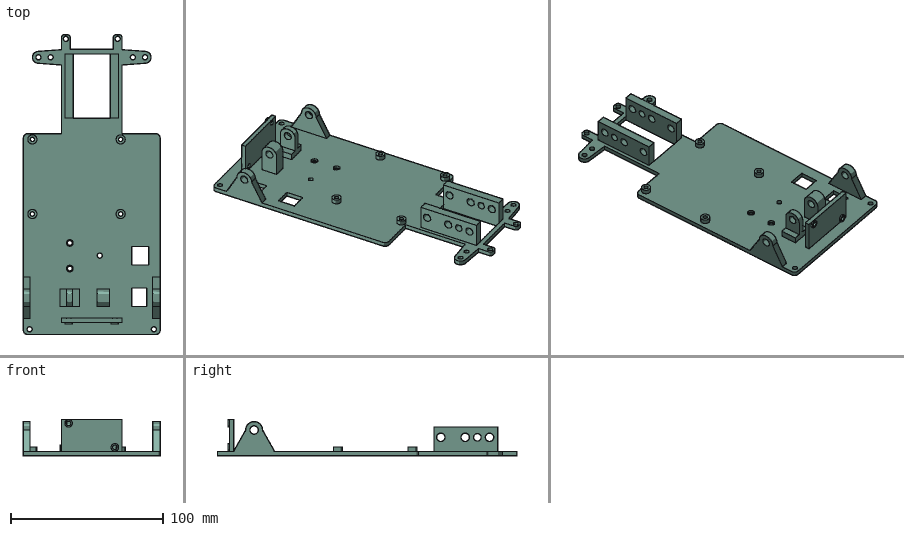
import cadquery as cq

OVERALL_LENGTH = 197.0
OVERALL_HEIGHT = 24.0
CUT_MARGIN = 1.0

PLATE_WIDTH = 90.0
PLATE_LENGTH = 132.0
PLATE_THICKNESS = 3.0
PLATE_CORNER_RADIUS = 3.0
NECK_WIDTH = 40.0
NECK_END_Y = 187.5
SCREW_HOLE_DIAMETER = 3.2
CORNER_HOLE_INSET_X = 4.2
CORNER_HOLE_Y = 3.5
CENTRE_HOLE = (5.3, 51.9)

TAB_WIDTH = 6.0
TAB_CORNER_RADIUS = 2.0
TAB_HOLE_INSET_Y = 2.8

ARM_Y = 182.1
ARM_TIP_X = 35.0
ARM_TIP_RADIUS = 4.0
ARM_ROOT_WIDTH = 10.2
ARM_HOLE_SPACING = 8.0

WINDOW_WIDTH = 24.2
WINDOW_FRONT_Y = 142.2
WINDOW_LENGTH = 42.0
WALL_THICKNESS = 5.5
WALL_TOP_Z = 19.0
WALL_HOLE_Z = 12.2
WALL_HOLE_OFFSETS = (4.6, 20.6, 28.6, 36.6)
WALL_HOLE_DIAMETERS = (5.35, 5.35, 4.8, 5.35)

STANDOFF_DIAMETER = 6.0
STANDOFF_HOLE_DIAMETER = 2.7
STANDOFF_HEIGHT = 3.0
STANDOFF_CENTRE = (-10.0, 103.7)
STANDOFF_SPACING_X = 58.0
STANDOFF_SPACING_Y = 49.0

COUNTERBORE_X = -14.4
COUNTERBORE_Y = (43.4, 60.2)
COUNTERBORE_DIAMETER = 4.4
COUNTERBORE_DEPTH = 1.5
COUNTERBORE_HOLE_DIAMETER = 3.0

OPENING_LEFT_X = 26.3
OPENING_LENGTH = 12.0
REAR_OPENING_WIDTH = 11.0
REAR_OPENING_FRONT_Y = 45.8
FRONT_OPENING_WIDTH = 9.8
FRONT_OPENING_FRONT_Y = 18.5

AXLE_Y = 24.2
AXLE_Z = 17.0
AXLE_HOLE_DIAMETER = 5.35
LUG_TOP_RADIUS = 5.6
LUG_BASE_LENGTH = 27.0
LEFT_LUG_THICKNESS = 4.5
RIGHT_LUG_THICKNESS = 5.0
LEFT_BRACKET_X = (-16.5, -12.7)
RIGHT_BRACKET_X = (3.6, 11.7)
FOOT_X = (-20.7, -7.9)
FOOT_HEIGHT = 4.2

PANEL_WIDTH = 40.0
PANEL_FRONT_Y = 7.9
PANEL_THICKNESS = 3.0
PANEL_BOSS_DIAMETER = 5.0
PANEL_BOSS_HEIGHT = 1.0
PANEL_BOSS_HOLE_DIAMETER = 3.0
PANEL_BOSSES_XZ = ((-15.2, 21.4), (15.2, 5.6))


def block(x_min, x_max, y_min, y_max, z_min, z_max):
    size = (x_max - x_min, y_max - y_min, z_max - z_min)
    return cq.Workplane("XY").box(*size, centered=False).translate((x_min, y_min, z_min))


def x_cylinder(x_min, x_max, y, z, diameter):
    plane = cq.Workplane("YZ", origin=(x_min, y, z))
    return plane.circle(diameter / 2).extrude(x_max - x_min)


def y_cylinder(y_min, y_max, x, z, diameter):
    plane = cq.Workplane("XZ", origin=(x, y_max, z))
    return plane.circle(diameter / 2).extrude(y_max - y_min)


def z_cylinder(x, y, z_min, z_max, diameter):
    plane = cq.Workplane("XY", origin=(x, y, z_min))
    return plane.circle(diameter / 2).extrude(z_max - z_min)


def plate_hole(x, y, diameter, top_z=PLATE_THICKNESS):
    return z_cylinder(x, y, -CUT_MARGIN, top_z + CUT_MARGIN, diameter)


def plate_opening(x_min, width, y_min, length):
    return block(x_min, x_min + width, y_min, y_min + length, -CUT_MARGIN, PLATE_THICKNESS + CUT_MARGIN)


def make_base_plate():
    half_plate = PLATE_WIDTH / 2
    half_neck = NECK_WIDTH / 2
    plate = block(-half_plate, half_plate, 0, PLATE_LENGTH, 0, PLATE_THICKNESS)
    plate = plate.edges("|Z").fillet(PLATE_CORNER_RADIUS)
    neck_start_y = PLATE_LENGTH - PLATE_CORNER_RADIUS
    neck = block(-half_neck, half_neck, neck_start_y, NECK_END_Y, 0, PLATE_THICKNESS)
    plate = plate.union(neck)
    for side in (-1, 1):
        hole_x = side * (half_plate - CORNER_HOLE_INSET_X)
        plate = plate.cut(plate_hole(hole_x, CORNER_HOLE_Y, SCREW_HOLE_DIAMETER))
        plate = plate.union(make_arm(side)).union(make_tab(side))
    return plate.cut(plate_hole(*CENTRE_HOLE, SCREW_HOLE_DIAMETER))


def make_tab(side):
    centre_x = side * (NECK_WIDTH - TAB_WIDTH) / 2
    half_width = TAB_WIDTH / 2
    tab = block(centre_x - half_width, centre_x + half_width, ARM_Y, OVERALL_LENGTH, 0, PLATE_THICKNESS)
    tab = tab.edges("|Z and >Y").fillet(TAB_CORNER_RADIUS)
    return tab.cut(plate_hole(centre_x, OVERALL_LENGTH - TAB_HOLE_INSET_Y, SCREW_HOLE_DIAMETER))


def make_arm(side):
    root_x = side * NECK_WIDTH / 2
    inner_x = side * (WINDOW_WIDTH / 2 + WALL_THICKNESS)
    tip_x = side * ARM_TIP_X
    half_root = ARM_ROOT_WIDTH / 2
    taper = (
        cq.Workplane("XY")
        .moveTo(inner_x, ARM_Y - half_root)
        .lineTo(root_x, ARM_Y - half_root)
        .lineTo(tip_x, ARM_Y - ARM_TIP_RADIUS)
        .threePointArc((tip_x + side * ARM_TIP_RADIUS, ARM_Y), (tip_x, ARM_Y + ARM_TIP_RADIUS))
        .lineTo(root_x, ARM_Y + half_root)
        .lineTo(inner_x, ARM_Y + half_root)
        .close()
        .extrude(PLATE_THICKNESS)
    )
    for hole_x in (tip_x, tip_x - side * ARM_HOLE_SPACING):
        taper = taper.cut(plate_hole(hole_x, ARM_Y, SCREW_HOLE_DIAMETER))
    return taper


def make_servo_wall(side):
    inner_x = side * WINDOW_WIDTH / 2
    outer_x = inner_x + side * WALL_THICKNESS
    x_min = min(inner_x, outer_x)
    x_max = max(inner_x, outer_x)
    wall = block(x_min, x_max, WINDOW_FRONT_Y, WINDOW_FRONT_Y + WINDOW_LENGTH, 0, WALL_TOP_Z)
    for offset, diameter in zip(WALL_HOLE_OFFSETS, WALL_HOLE_DIAMETERS):
        hole_y = WINDOW_FRONT_Y + offset
        wall = wall.cut(x_cylinder(x_min - CUT_MARGIN, x_max + CUT_MARGIN, hole_y, WALL_HOLE_Z, diameter))
    return wall


def add_standoffs(body):
    top_z = PLATE_THICKNESS + STANDOFF_HEIGHT
    for side_x in (-1, 1):
        for side_y in (-1, 1):
            x = STANDOFF_CENTRE[0] + side_x * STANDOFF_SPACING_X / 2
            y = STANDOFF_CENTRE[1] + side_y * STANDOFF_SPACING_Y / 2
            body = body.union(z_cylinder(x, y, 0, top_z, STANDOFF_DIAMETER))
            body = body.cut(plate_hole(x, y, STANDOFF_HOLE_DIAMETER, top_z))
    return body


def cut_counterbored_holes(body):
    seat_z = PLATE_THICKNESS - COUNTERBORE_DEPTH
    for y in COUNTERBORE_Y:
        body = body.cut(plate_hole(COUNTERBORE_X, y, COUNTERBORE_HOLE_DIAMETER))
        counterbore_top = PLATE_THICKNESS + CUT_MARGIN
        body = body.cut(z_cylinder(COUNTERBORE_X, y, seat_z, counterbore_top, COUNTERBORE_DIAMETER))
    return body


def make_axle_support(x_min, x_max, base_length):
    """Plate with a half-round top and an axle hole; its sides run from the axle height to the base."""
    disc = x_cylinder(x_min, x_max, AXLE_Y, AXLE_Z, 2 * LUG_TOP_RADIUS)
    half_base = base_length / 2
    base_z = PLATE_THICKNESS - AXLE_Z
    web = (
        cq.Workplane("YZ", origin=(x_min, AXLE_Y, AXLE_Z))
        .polyline([(-half_base, base_z), (half_base, base_z), (LUG_TOP_RADIUS, 0), (-LUG_TOP_RADIUS, 0)])
        .close()
        .extrude(x_max - x_min)
    )
    hole = x_cylinder(x_min - CUT_MARGIN, x_max + CUT_MARGIN, AXLE_Y, AXLE_Z, AXLE_HOLE_DIAMETER)
    return disc.union(web).cut(hole)


def add_axle_supports(body):
    half_plate = PLATE_WIDTH / 2
    bracket_length = 2 * LUG_TOP_RADIUS
    body = body.union(make_axle_support(-half_plate, LEFT_LUG_THICKNESS - half_plate, LUG_BASE_LENGTH))
    body = body.union(make_axle_support(half_plate - RIGHT_LUG_THICKNESS, half_plate, LUG_BASE_LENGTH))
    for bracket_x in (LEFT_BRACKET_X, RIGHT_BRACKET_X):
        body = body.union(make_axle_support(*bracket_x, bracket_length))
    foot_front = AXLE_Y - LUG_TOP_RADIUS
    foot_rear = AXLE_Y + LUG_TOP_RADIUS
    foot = block(*FOOT_X, foot_front, foot_rear, PLATE_THICKNESS, PLATE_THICKNESS + FOOT_HEIGHT)
    return body.union(foot)


def make_front_panel():
    half_width = PANEL_WIDTH / 2
    rear_y = PANEL_FRONT_Y + PANEL_THICKNESS
    boss_front_y = PANEL_FRONT_Y - PANEL_BOSS_HEIGHT
    panel = block(-half_width, half_width, PANEL_FRONT_Y, rear_y, PLATE_THICKNESS, OVERALL_HEIGHT)
    for x, z in PANEL_BOSSES_XZ:
        panel = panel.union(y_cylinder(boss_front_y, rear_y, x, z, PANEL_BOSS_DIAMETER))
        bore = y_cylinder(boss_front_y - CUT_MARGIN, rear_y + CUT_MARGIN, x, z, PANEL_BOSS_HOLE_DIAMETER)
        panel = panel.cut(bore)
    return panel


result = make_base_plate()
result = result.cut(plate_opening(-WINDOW_WIDTH / 2, WINDOW_WIDTH, WINDOW_FRONT_Y, WINDOW_LENGTH))
result = result.cut(plate_opening(OPENING_LEFT_X, REAR_OPENING_WIDTH, REAR_OPENING_FRONT_Y, OPENING_LENGTH))
result = result.cut(plate_opening(OPENING_LEFT_X, FRONT_OPENING_WIDTH, FRONT_OPENING_FRONT_Y, OPENING_LENGTH))
result = cut_counterbored_holes(result)
result = add_standoffs(result)
result = add_axle_supports(result)
for wall_side in (-1, 1):
    result = result.union(make_servo_wall(wall_side))
result = result.union(make_front_panel())